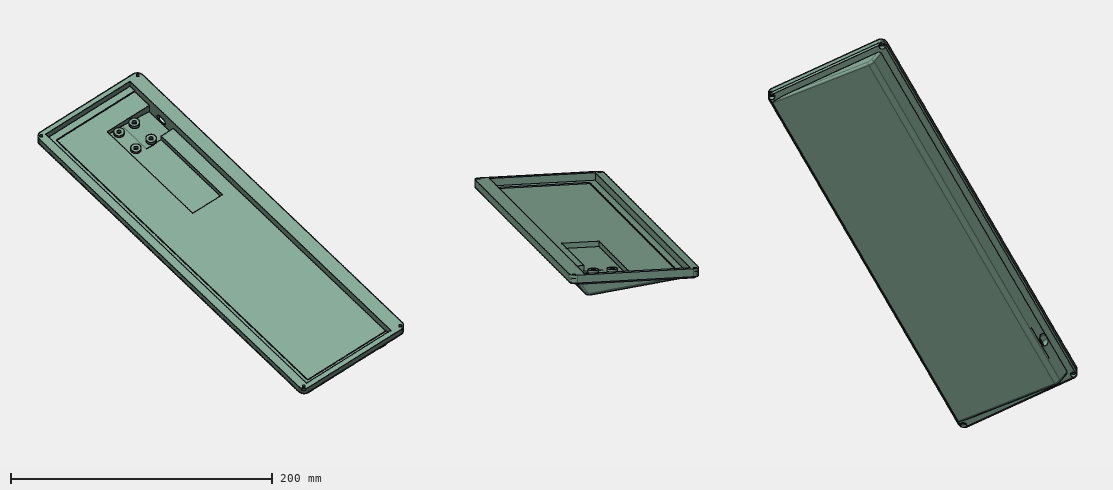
import cadquery as cq

length = 325.0
width = 101.5
plate_thickness = 7.5
corner_radius = 5.2
plate_chamfer = 1.3
rear = width / 2
front = -width / 2
left = -length / 2

keel_side_inset = 6.2
keel_rear_inset = 6.5
keel_front_inset = 1.5
keel_tip_inset = 14.3
keel_tip_z = -18.5
keel_tip_radius = 5.0
keel_edge_radius = 2.0
keel_overlap = 1.5

recess_side_inset = 4.2
recess_rear_inset = 11.7
recess_front_inset = 6.8
recess_depth = 6.0
ledge_width = 6.0
ledge_step = 1.0
floor_z = -recess_depth - ledge_step

bay_left = left + 27.5
compartment_length = 103.7
compartment_rear = rear - 23.7
compartment_front = rear - 53.0
compartment_depth = 4.2
compartment_z = floor_z - compartment_depth
bay_length = 29.2
bay_front = rear - 38.5
bay_rear = rear - recess_rear_inset
bay_drop = 3.2

post_diameter = 8.0
post_bore = 3.2
post_height = 2.0
post_bore_depth = 2.5
post_root = 1.5
post_x_positions = (left + 32.0, left + 52.3)
post_y_positions = (rear - 30.0, rear - 45.0)

port_length = 9.8
port_height = 6.0
port_x = sum(post_x_positions) / 2
port_z = -10.7

screw_inset = 3.2
screw_diameter = 2.25
screw_head_diameter = 4.5
screw_head_z = -2.5


def block(x_min, x_max, y_min, y_max, z_min, z_max):
    """Box given by its limits along each axis."""
    size = (x_max - x_min, y_max - y_min, z_max - z_min)
    return cq.Workplane("XY").box(*size, centered=False).translate((x_min, y_min, z_min))


def side_prism(points, x_min, x_max):
    """Polygon of (y, z) points extruded along X."""
    return cq.Workplane("YZ", origin=(x_min, 0, 0)).polyline(points).close().extrude(x_max - x_min)


def make_plate():
    plate = cq.Workplane("XY").box(length, width, plate_thickness, centered=(True, True, False))
    plate = plate.translate((0, 0, -plate_thickness))
    return plate.edges("|Z").fillet(corner_radius).faces("<Z").edges().chamfer(plate_chamfer)


def make_keel():
    top_z = keel_overlap - plate_thickness
    profile = [
        (front + keel_front_inset, top_z),
        (front + keel_front_inset, -plate_thickness),
        (rear - keel_tip_inset, keel_tip_z),
        (rear - keel_rear_inset, -plate_thickness),
        (rear - keel_rear_inset, top_z),
    ]
    x_min = left + keel_side_inset
    keel = side_prism(profile, x_min, -x_min)
    keel = keel.edges("|X").edges("<Z").fillet(keel_tip_radius)
    below_plate = cq.selectors.BoxSelector(
        (-length, front, keel_tip_z), (length, rear, -plate_thickness - plate_chamfer)
    )
    return keel.faces("<X or >X").edges(below_plate).fillet(keel_edge_radius)


def make_recess():
    x_min = left + recess_side_inset
    y_min = front + recess_front_inset
    upper = block(x_min, -x_min, y_min, bay_rear, -recess_depth, 0)
    inner_x = x_min + ledge_width
    lower = block(inner_x, -inner_x, y_min + ledge_width, bay_rear, floor_z, 0)
    return upper.union(lower)


def make_compartment():
    compartment = block(
        bay_left, bay_left + compartment_length, compartment_front, compartment_rear, compartment_z, 0
    )
    bay_profile = [
        (bay_front, 0),
        (bay_front, compartment_z),
        (bay_rear, compartment_z - bay_drop),
        (bay_rear, 0),
    ]
    return compartment.union(side_prism(bay_profile, bay_left, bay_left + bay_length))


def make_posts():
    centers = [(x, y) for x in post_x_positions for y in post_y_positions]
    top_z = compartment_z + post_height
    base_z = compartment_z - post_root
    posts = cq.Workplane("XY", origin=(0, 0, base_z)).pushPoints(centers)
    posts = posts.circle(post_diameter / 2).extrude(top_z - base_z)
    bores = cq.Workplane("XY", origin=(0, 0, top_z)).pushPoints(centers)
    return posts, bores.circle(post_bore / 2).extrude(-post_bore_depth)


def make_port():
    port = cq.Workplane("XZ", origin=(port_x, rear, port_z)).slot2D(port_length, port_height)
    return port.extrude(recess_rear_inset)


def make_screw_holes():
    spacing = (length - 2 * screw_inset, width - 2 * screw_inset)
    shanks = cq.Workplane("XY").rarray(*spacing, 2, 2).circle(screw_diameter / 2).extrude(-plate_thickness)
    heads = cq.Workplane("XY", origin=(0, 0, screw_head_z)).rarray(*spacing, 2, 2)
    heads = heads.circle(screw_head_diameter / 2).extrude(-plate_thickness - screw_head_z)
    return shanks.union(heads)


posts, post_bores = make_posts()
result = make_plate().union(make_keel()).cut(make_recess()).cut(make_compartment())
result = result.union(posts).cut(post_bores).cut(make_port()).cut(make_screw_holes())